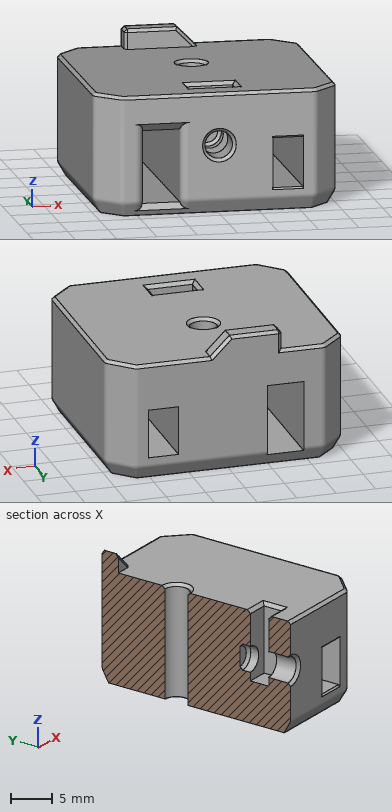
import cadquery as cq
import math

length = 30.0
width = 28.0
body_height = 15.0
tab_height = 2.5
corner_cut = 3.0
corner_radius = 1.0
small_chamfer = 0.4

foot_angle = 60.0
foot_inset = corner_radius
foot_height = foot_inset * math.tan(math.radians(foot_angle))

front_y = -width / 2
back_y = width / 2

large_center_x = -7.02
large_width = 4.62
large_floor_z = 1.45
large_ceiling_z = 10.5
large_flare = 1.0
pick_margin = 0.03
large_sill_leg = 0.9

small_center_x = 8.5
small_width = 3.78
small_center_z = 5.97
small_height = 6.2
small_flare = 0.2

hole_diameter = 3.4
center_hole_y = 2.95
screw_z = 8.5
screw_depth = 7.5
screw_end_taper = 0.4

pocket_length = 5.67
pocket_width = 2.67
pocket_chamfer = 0.45
pocket_y = -9.4
pocket_floor_z = screw_z - pocket_length / 2

tab_left_x = -6.5
tab_thickness = 2.5
tab_root_depth = 2 * small_chamfer


def core_outline():
    """Sharp octagon inside the body outline, starting at the middle of its front side."""
    half_x = length / 2 - corner_radius
    half_y = width / 2 - corner_radius
    core_cut = corner_cut - corner_radius * (2 - math.sqrt(2))
    return (
        cq.Workplane("XY")
        .moveTo(0, -half_y)
        .lineTo(half_x - core_cut, -half_y)
        .lineTo(half_x, -half_y + core_cut)
        .lineTo(half_x, half_y - core_cut)
        .lineTo(half_x - core_cut, half_y)
        .lineTo(core_cut - half_x, half_y)
        .lineTo(-half_x, half_y - core_cut)
        .lineTo(-half_x, -half_y + core_cut)
        .lineTo(core_cut - half_x, -half_y)
        .close()
    )


def make_body():
    """Octagonal block: a sharp core wrapped by a band whose section is the edge profile."""
    core = core_outline().extrude(body_height)

    turn = math.radians(90 - foot_angle)
    tangent = corner_radius * math.tan(turn / 2)
    core_y = front_y + corner_radius
    arc_start = (front_y + tangent * math.sin(turn), foot_height - tangent * math.cos(turn))
    arc_middle = (
        front_y + corner_radius * (1 - math.cos(turn / 2)),
        foot_height + tangent - corner_radius * math.sin(turn / 2),
    )
    arc_end = (front_y, foot_height + tangent)
    band = (
        cq.Workplane("YZ")
        .moveTo(core_y, 0)
        .lineTo(*arc_start)
        .threePointArc(arc_middle, arc_end)
        .lineTo(front_y, body_height - small_chamfer)
        .lineTo(front_y + small_chamfer, body_height)
        .lineTo(core_y, body_height)
        .close()
    )
    return core.union(band.sweep(core_outline(), transition="round")).clean()


def box_between(x_range, y_range, z_range):
    """Box spanning the given (low, high) pair on each axis."""
    size = [high - low for low, high in (x_range, y_range, z_range)]
    low_corner = (x_range[0], y_range[0], z_range[0])
    return cq.Workplane("XY").box(*size, centered=False).translate(low_corner)


def large_window(body):
    """Opening whose sides round over the front outline and whose floor and ceiling flare."""
    x_left = large_center_x - large_width / 2
    x_right = large_center_x + large_width / 2
    slot_top = (large_ceiling_z + large_flare + body_height) / 2
    slot = box_between((x_left, x_right), (front_y, back_y), (0, slot_top))
    slotted = body.cut(slot)
    for x in (x_left, x_right):
        front_edges = cq.selectors.BoxSelector(
            (x - pick_margin, front_y - pick_margin, pick_margin),
            (x + pick_margin, front_y + foot_inset - pick_margin, slot_top - pick_margin),
        )
        slotted = slotted.edges(front_edges).fillet(large_flare)

    slope = math.radians(foot_angle)
    sill_z = large_floor_z - large_sill_leg * math.sin(slope)
    lip_y = front_y + (foot_height - large_floor_z) / math.tan(slope)
    side_section = (
        cq.Workplane("YZ")
        .moveTo(front_y, sill_z)
        .lineTo(lip_y + large_sill_leg * math.cos(slope), sill_z)
        .lineTo(lip_y + large_sill_leg, large_floor_z)
        .lineTo(back_y, large_floor_z)
        .lineTo(back_y, large_ceiling_z)
        .lineTo(front_y + large_flare, large_ceiling_z)
        .lineTo(front_y, large_ceiling_z + large_flare)
        .close()
        .extrude(length / 2, both=True)
    )
    return body.cut(slotted).intersect(side_section)


def small_window():
    """Opening through the body with a narrow flare at floor and ceiling."""
    half_height = small_height / 2
    return (
        cq.Workplane("YZ", origin=(small_center_x - small_width / 2, 0, small_center_z))
        .moveTo(front_y, -half_height - small_flare)
        .lineTo(front_y + small_flare, -half_height)
        .lineTo(back_y, -half_height)
        .lineTo(back_y, half_height)
        .lineTo(front_y + small_flare, half_height)
        .lineTo(front_y, half_height + small_flare)
        .close()
        .extrude(small_width)
    )


def center_hole():
    """Vertical through hole with a chamfered top rim."""
    radius = hole_diameter / 2
    return (
        cq.Workplane("XZ", origin=(0, center_hole_y, 0))
        .lineTo(radius, 0)
        .lineTo(radius, body_height - small_chamfer)
        .lineTo(radius + small_chamfer, body_height)
        .lineTo(0, body_height)
        .close()
        .revolve(360, (0, 0, 0), (0, 1, 0))
    )


def screw_hole():
    """Blind hole in the front face with a chamfered rim and a tapered end."""
    radius = hole_diameter / 2
    return (
        cq.Workplane("XY", origin=(0, front_y, screw_z))
        .lineTo(radius + small_chamfer, 0)
        .lineTo(radius, small_chamfer)
        .lineTo(radius, screw_depth - screw_end_taper)
        .lineTo(radius - screw_end_taper, screw_depth)
        .lineTo(0, screw_depth)
        .close()
        .revolve(360, (0, 0, 0), (0, 1, 0))
    )


def nut_pocket():
    """Rectangular pocket in the top face with a chamfered mouth."""
    pocket = box_between(
        (-pocket_length / 2, pocket_length / 2),
        (pocket_y - pocket_width / 2, pocket_y + pocket_width / 2),
        (pocket_floor_z, body_height),
    )
    mouth = (
        cq.Workplane("XY", origin=(0, pocket_y, body_height))
        .rect(pocket_length + 2 * pocket_chamfer, pocket_width + 2 * pocket_chamfer)
        .extrude(-pocket_chamfer, taper=45)
    )
    return pocket.union(mouth)


def tab():
    """Upright tab with one 45 degree end, rooted in the back edge of the body."""
    tab_top = body_height + tab_height
    root = body_height - tab_root_depth
    blank = (
        cq.Workplane("XZ", origin=(0, back_y, 0))
        .moveTo(tab_left_x, root)
        .lineTo(tab_left_x, tab_top)
        .lineTo(0, tab_top)
        .lineTo(tab_height + tab_root_depth, root)
        .close()
        .extrude(tab_thickness)
    )
    face_edges = blank.edges("not(<Z or |Y)")
    end_edge = blank.edges("|Y and >Z and <X")
    return face_edges.add(end_edge).chamfer(small_chamfer)


body = make_body()
result = (
    body.cut(large_window(body))
    .cut(small_window())
    .cut(center_hole())
    .cut(screw_hole())
    .cut(nut_pocket())
    .union(tab())
)